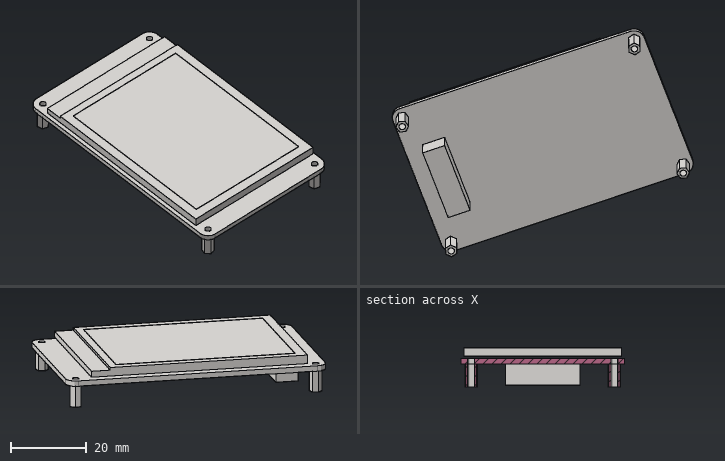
import cadquery as cq

board_length = 70.8
board_width = 43.3
board_thickness = 1.5
corner_radius = 2.8

standoff_height = 6.1
standoff_corner_diameter = 3.4
standoff_turn = 15.0
hole_diameter = 1.7
mount_inset = 2.7
mount_x = board_length / 2 - mount_inset
mount_y = board_width / 2 - mount_inset

overall_height = 10.5
display_gap = 0.6
display_x_min = -28.8
display_x_max = 30.0
display_width = 41.8
display_bottom = board_thickness + display_gap
display_top = overall_height - standoff_height
ledge_length = 5.1
ledge_drop = 0.7

screen_x_min = -21.5
screen_x_max = 27.25
screen_width = 36.45
screen_depth = 0.1

connector_x_min = 24.1
connector_length = 6.15
connector_width = 19.75
connector_height = 5.65


def box_between(x_min, x_max, width, z_min, z_max):
    """Box spanning the given X and Z ranges, centred on Y = 0."""
    return (
        cq.Workplane("XY")
        .box(x_max - x_min, width, z_max - z_min, centered=(False, True, False))
        .translate((x_min, 0, z_min))
    )


def make_board():
    """Rounded plate with a through hole at each corner."""
    plate = (
        cq.Workplane("XY")
        .box(board_length, board_width, board_thickness, centered=(True, True, False))
        .edges("|Z")
        .fillet(corner_radius)
    )
    holes = (
        cq.Workplane("XY")
        .rect(2 * mount_x, 2 * mount_y, forConstruction=True)
        .vertices()
        .circle(hole_diameter / 2)
        .extrude(board_thickness)
    )
    return plate.cut(holes)


def make_display():
    """Panel with a lower ledge along its -X edge and a sunken screen area."""
    panel = box_between(display_x_min, display_x_max, display_width, display_bottom, display_top)
    ledge_cut = box_between(
        display_x_min, display_x_min + ledge_length, display_width, display_top - ledge_drop, display_top
    )
    screen_cut = box_between(
        screen_x_min, screen_x_max, screen_width, display_top - screen_depth, display_top
    )
    return panel.cut(ledge_cut).cut(screen_cut)


def make_connector():
    """Plain block hanging from the underside of the board."""
    return box_between(
        connector_x_min, connector_x_min + connector_length, connector_width, -connector_height, 0
    )


def make_standoff(side_x, side_y):
    """Bored hexagonal post at one corner; neighbouring posts are turned as mirror images."""
    return (
        cq.Workplane("XY")
        .polygon(6, standoff_corner_diameter)
        .circle(hole_diameter / 2)
        .extrude(-standoff_height)
        .rotate((0, 0, 0), (0, 0, 1), side_x * side_y * standoff_turn)
        .translate((side_x * mount_x, side_y * mount_y, 0))
    )


board = make_board()
display = make_display()
connector = make_connector()
standoffs = [make_standoff(side_x, side_y) for side_x in (-1, 1) for side_y in (-1, 1)]

result = cq.Compound.makeCompound(
    [board.val(), display.val(), connector.val(), *[standoff.val() for standoff in standoffs]]
)